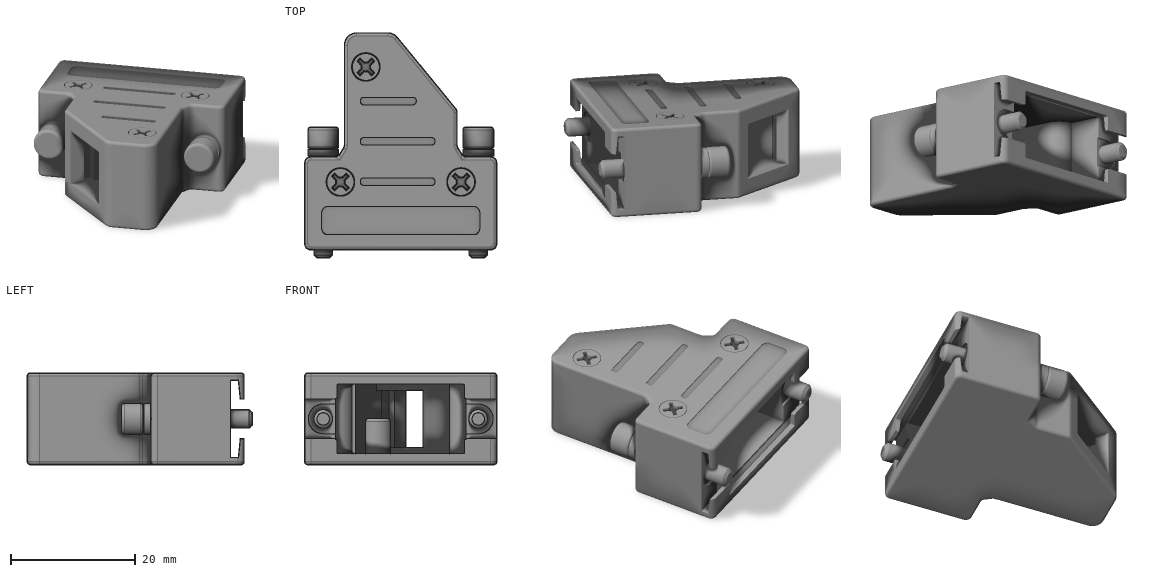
import cadquery as cq
import math


overshoot = 1.0
pick_margin = 0.1

height = 14.8
half_height = height / 2
half_width = 15.5
shoulder_y = 15.0
neck_half = 9.1
flare_half = 10.1
flare_top_y = 16.64
rear_y = 35.0
slope_rear = (-1.15, rear_y)
slope_front = (neck_half, 22.5)
vertical_radius = 1.0
rear_radius = 2.0
rim_radius = 0.5

lip_half_width = 10.3
lip_half_height = 5.6
notch_half_height = 3.2
lip_corner_radius = 0.3
flange_slot_half_height = 6.2
flange_slot_depth = 2.2
lip_root = 0.95
lip_tip = 0.65

cavity_half_height = 5.8
cavity_half_width = 10.55
cavity_step_y = 7.9
corner_round = 2.65
throat_half = cavity_half_width - corner_round
throat_left = -7.3
clamp_wall_along = 2.0
exit_wall_depth = 5.2

exit_half_height = 4.6
exit_along = (3.1, 13.8)
groove_along = (1.75, 15.15)
groove_depth = (2.4, 4.2)
post_x, post_y = -3.66, 20.0
post_radius = 2.0
post_top_z = 0.1
post_round = 0.5

jack_x = 12.5
jack_radius = 1.5
jack_tip_y = -1.3
jack_tip_chamfer = 0.5
jack_neck_radius = 2.1
knob_radius = 2.5
knob_y = (16.35, 19.8)
knob_rear_round = 0.5
knob_front_round = 0.35
washer_y = (15.15, 16.2)
seat_radius = 2.4
seat_depth = 0.4

cover_screws = [(-9.73, 10.95), (9.73, 10.95), (-5.63, 29.5)]
screw_hole_radius = 2.3
screw_gap = 0.12
screw_gap_depth = 0.3
cross_length = 3.34
cross_width = 0.7
cross_angles = (45, 135)
cross_core_radius = 0.78
cross_depth = 0.8
cross_taper = 8
grip_left = -6.5
grip_slots = [(11.0, 5.5), (17.5, 5.5), (24.0, 2.5)]
grip_width = 1.2
grip_end_radius = 0.5
grip_depth = 0.2
label_half_length = 12.75
label_y = (2.45, 7.0)
label_radius = 1.0
label_depth = 0.2

slope_dx = slope_front[0] - slope_rear[0]
slope_dy = slope_front[1] - slope_rear[1]
slope_length = math.hypot(slope_dx, slope_dy)
along_dir = (slope_dx / slope_length, slope_dy / slope_length)
inward_dir = (along_dir[1], -along_dir[0])


def slope_point(along, depth):
    """Plan point at a distance along the slanted face and a depth behind it."""
    x = slope_rear[0] + along * along_dir[0] + depth * inward_dir[0]
    y = slope_rear[1] + along * along_dir[1] + depth * inward_dir[1]
    return (x, y)


def block(x0, x1, y0, y1, z0, z1):
    size = (x1 - x0, y1 - y0, z1 - z0)
    return cq.Workplane("XY").box(*size, centered=False).translate((x0, y0, z0))


def prism(points, half_depth):
    return cq.Workplane("XY").polyline(points).close().extrude(half_depth, both=True)


def slope_block(along, depth, half_z):
    """Block squared to the slanted face, spanning the given along and depth ranges."""
    corners = [
        slope_point(along[0], depth[0]),
        slope_point(along[1], depth[0]),
        slope_point(along[1], depth[1]),
        slope_point(along[0], depth[1]),
    ]
    return prism(corners, half_z)


def cylinder_y(x, radius, y0, y1):
    """Cylinder parallel to Y on the split plane."""
    plane = cq.Plane(origin=(x, y0, 0), xDir=(1, 0, 0), normal=(0, 1, 0))
    return cq.Workplane(plane).circle(radius).extrude(y1 - y0)


def round_uprights(body, points, radius):
    """Fillet the vertical edges standing at the given plan points."""
    for x, y in points:
        low = (x - pick_margin, y - pick_margin, -pick_margin)
        high = (x + pick_margin, y + pick_margin, pick_margin)
        body = body.edges(cq.selectors.BoxSelector(low, high)).fillet(radius)
    return body


def make_shell():
    front_corners = [(-half_width, 0), (half_width, 0)]
    shoulder_corners = [(half_width, shoulder_y), (-half_width, shoulder_y)]
    flare_right = [(flare_half, shoulder_y), (neck_half, flare_top_y)]
    flare_left = [(-neck_half, flare_top_y), (-flare_half, shoulder_y)]
    rear_corners = [slope_rear, (-neck_half, rear_y)]
    right_side = [shoulder_corners[0]] + flare_right + [slope_front]
    left_side = flare_left + [shoulder_corners[1]]
    outline = front_corners + right_side + rear_corners + left_side
    body = prism(outline, half_height)
    body = round_uprights(body, rear_corners, rear_radius)
    convex = front_corners + shoulder_corners + [flare_right[1], flare_left[0], slope_front]
    body = round_uprights(body, convex, vertical_radius)
    body = body.faces("|Z").edges().fillet(rim_radius)
    return round_uprights(body, [flare_right[0], flare_left[1]], vertical_radius)


def make_front_opening():
    reach = half_width + overshoot
    y_range = (-overshoot, flange_slot_depth)
    window = block(-lip_half_width, lip_half_width, *y_range, -lip_half_height, lip_half_height)
    notch = block(-reach, reach, *y_range, -notch_half_height, notch_half_height)
    opening = window.union(notch).edges("|Y").fillet(lip_corner_radius)
    slot_profile = [
        (flange_slot_depth, flange_slot_half_height),
        (lip_root, flange_slot_half_height),
        (lip_tip, notch_half_height),
        (lip_tip, -notch_half_height),
        (lip_root, -flange_slot_half_height),
        (flange_slot_depth, -flange_slot_half_height),
    ]
    slot = cq.Workplane("YZ").polyline(slot_profile).close().extrude(reach, both=True)
    return opening.union(slot)


def make_cavity():
    clamp_edge = slope_point(clamp_wall_along, 0)
    clamp_start = slope_point(clamp_wall_along, (throat_left - clamp_edge[0]) / inward_dir[0])
    clamp_end = slope_point(clamp_wall_along, exit_wall_depth)
    block_edge = slope_point(0, exit_wall_depth)
    block_end = slope_point((throat_half - block_edge[0]) / along_dir[0], exit_wall_depth)

    round_y = cavity_step_y + corner_round
    diagonal = corner_round * math.cos(math.radians(45))
    round_mid = (cavity_half_width - diagonal, round_y - diagonal)
    return (
        cq.Workplane("XY")
        .moveTo(-cavity_half_width, flange_slot_depth)
        .lineTo(cavity_half_width, flange_slot_depth)
        .lineTo(cavity_half_width, cavity_step_y)
        .threePointArc(round_mid, (throat_half, round_y))
        .lineTo(*block_end)
        .lineTo(*clamp_end)
        .lineTo(*clamp_start)
        .lineTo(throat_left, round_y)
        .lineTo(-throat_half, round_y)
        .threePointArc((-round_mid[0], round_mid[1]), (-cavity_half_width, cavity_step_y))
        .close()
        .extrude(cavity_half_height, both=True)
    )


def make_cable_exit():
    hole = slope_block(exit_along, (-overshoot, groove_depth[1]), exit_half_height)
    entry_along = (clamp_wall_along, exit_along[1])
    entry = slope_block(entry_along, (groove_depth[0], exit_wall_depth), exit_half_height)
    groove = slope_block(groove_along, groove_depth, exit_half_height)
    return hole.union(entry).union(groove)


def make_post():
    post = cq.Workplane("XY", origin=(post_x, post_y, -cavity_half_height)).circle(post_radius)
    post = post.extrude(post_top_z + cavity_half_height)
    return post.faces(">Z").edges().fillet(post_round)


def make_jack_seat(side):
    x = side * jack_x
    inner = side * cavity_half_width
    y0, y1 = flange_slot_depth, flange_slot_depth + seat_depth
    strip = block(min(x, inner), max(x, inner), y0, y1, -seat_radius, seat_radius)
    return cylinder_y(x, seat_radius, y0, y1).union(strip)


def make_jack_screw(side):
    x = side * jack_x
    shank = cylinder_y(x, jack_radius, jack_tip_y, shoulder_y).faces("<Y").chamfer(jack_tip_chamfer)
    neck = cylinder_y(x, jack_neck_radius, shoulder_y - rim_radius, knob_y[1] - knob_rear_round)
    washer = cylinder_y(x, knob_radius, *washer_y)
    knob = cylinder_y(x, knob_radius, *knob_y)
    knob = knob.faces(">Y").edges().fillet(knob_rear_round)
    knob = knob.faces("<Y").edges().fillet(knob_front_round)
    return shank.union(neck).union(washer).union(knob)


def make_cover_screw_cut(x, y):
    top = cq.Workplane("XY", origin=(x, y, half_height))
    gap = top.circle(screw_hole_radius).circle(screw_hole_radius - screw_gap).extrude(-screw_gap_depth)
    cross = top.circle(cross_core_radius).extrude(-cross_depth, taper=cross_taper)
    for angle in cross_angles:
        arm = top.transformed(rotate=(0, 0, angle)).rect(cross_length, cross_width)
        cross = cross.union(arm.extrude(-cross_depth, taper=cross_taper))
    return gap.union(cross)


def make_recess(x0, x1, y0, y1, radius, depth):
    recess = block(x0, x1, y0, y1, half_height - depth, half_height)
    return recess.edges("|Z").fillet(radius)


result = make_shell().cut(make_front_opening()).cut(make_cavity()).cut(make_cable_exit())
result = result.union(make_post())

for side in (-1, 1):
    result = result.cut(make_jack_seat(side)).union(make_jack_screw(side))

for screw_x, screw_y in cover_screws:
    result = result.cut(make_cover_screw_cut(screw_x, screw_y))

for slot_y, slot_right in grip_slots:
    slot_edges = (slot_y - grip_width / 2, slot_y + grip_width / 2)
    result = result.cut(make_recess(grip_left, slot_right, *slot_edges, grip_end_radius, grip_depth))

result = result.cut(
    make_recess(-label_half_length, label_half_length, *label_y, label_radius, label_depth))